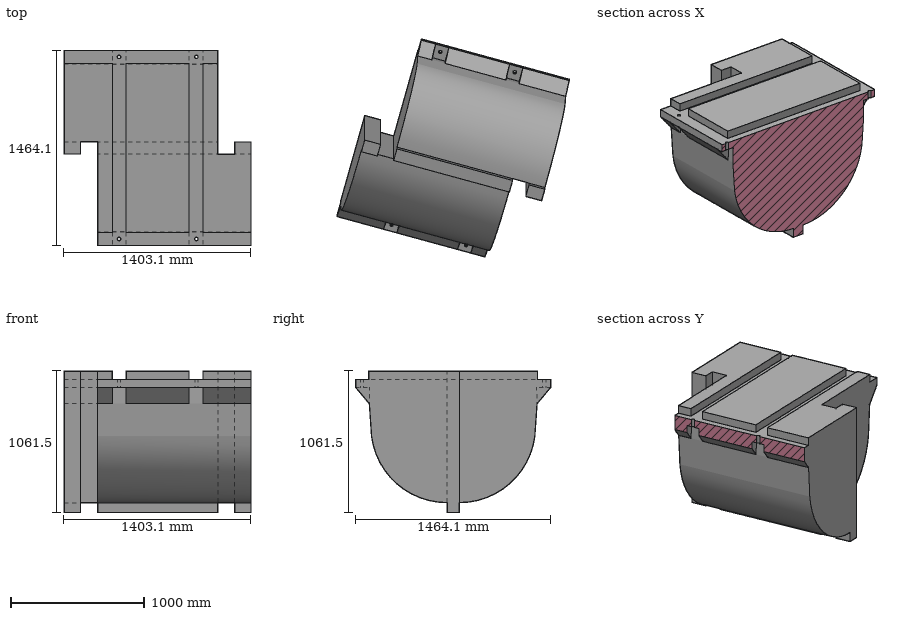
import math

import cadquery as cq

LENGTH = 1403.09
WIDTH = 1464.09
HEIGHT = 1061.47

BLOCK_HALF_WIDTH = 634.0
FLANGE_TOP_Z = -61.0
FLANGE_THICKNESS = 61.0
HAUNCH_HEIGHT = 2 * FLANGE_THICKNESS
HAUNCH_ROOT_HALF_WIDTH = 630.0
CLEARANCE_TOP_HALF_WIDTH = 626.0
HULL_RADIUS = 572.0
HULL_CENTRE_Z = -415.0
HULL_START_Z = -488.0
KEEL_HALF_WIDTH = 46.0

HOOK_LENGTH = 124.0
HOOK_SLOT_WIDTH = 127.0

GROOVE_WIDTH = 103.0
GROOVE_OFFSET = 288.0
HOLE_OFFSET = 290.0
HOLE_DIAMETER = 24.0

HALF_LENGTH = LENGTH / 2
HALF_WIDTH = WIDTH / 2
FLANGE_BOTTOM_Z = FLANGE_TOP_Z - FLANGE_THICKNESS
HAUNCH_BOTTOM_Z = FLANGE_BOTTOM_Z - HAUNCH_HEIGHT
HOLE_Y = (BLOCK_HALF_WIDTH + HALF_WIDTH) / 2


def hull_point(angle):
    """Point on the +Y hull arc, at an angle below the horizontal through its centre."""
    return (
        KEEL_HALF_WIDTH + HULL_RADIUS * math.cos(angle),
        HULL_CENTRE_Z - HULL_RADIUS * math.sin(angle),
    )


def make_hull():
    """Flanged tub section with a keel, run along the whole length."""
    start_angle = math.asin((HULL_CENTRE_Z - HULL_START_Z) / HULL_RADIUS)
    end_angle = math.pi / 2
    half = (
        cq.Workplane("YZ", origin=(-HALF_LENGTH, 0, 0))
        .moveTo(0, 0)
        .lineTo(BLOCK_HALF_WIDTH, 0)
        .lineTo(BLOCK_HALF_WIDTH, FLANGE_TOP_Z)
        .lineTo(HALF_WIDTH, FLANGE_TOP_Z)
        .lineTo(HALF_WIDTH, FLANGE_BOTTOM_Z)
        .lineTo(HAUNCH_ROOT_HALF_WIDTH, HAUNCH_BOTTOM_Z)
        .lineTo(*hull_point(start_angle))
        .threePointArc(hull_point((start_angle + end_angle) / 2), hull_point(end_angle))
        .lineTo(KEEL_HALF_WIDTH, -HEIGHT)
        .lineTo(0, -HEIGHT)
        .close()
        .extrude(LENGTH)
    )
    return half.union(half.mirror("XZ"))


def make_plan():
    """Plan outline with a hook at each end, the same after half a turn about Z."""
    hook_inner_x = -HALF_LENGTH + HOOK_LENGTH
    slot_inner_x = hook_inner_x + HOOK_SLOT_WIDTH
    half_outline = [
        (-HALF_LENGTH, HALF_WIDTH),
        (-HALF_LENGTH, -KEEL_HALF_WIDTH),
        (hook_inner_x, -KEEL_HALF_WIDTH),
        (hook_inner_x, KEEL_HALF_WIDTH),
        (slot_inner_x, KEEL_HALF_WIDTH),
        (slot_inner_x, -HALF_WIDTH),
    ]
    turned_outline = [(-x, -y) for x, y in half_outline]
    return cq.Workplane("XY").polyline(half_outline + turned_outline).close().extrude(-HEIGHT)


def haunch_clearance(x):
    """Prism on the +Y side that clears the haunch at x, leaving a wall that leans slightly inward."""
    return (
        cq.Workplane("YZ", origin=(x - GROOVE_WIDTH / 2, 0, 0))
        .moveTo(CLEARANCE_TOP_HALF_WIDTH, FLANGE_BOTTOM_Z)
        .lineTo(HALF_WIDTH, FLANGE_BOTTOM_Z)
        .lineTo(HAUNCH_ROOT_HALF_WIDTH, HAUNCH_BOTTOM_Z)
        .close()
        .extrude(GROOVE_WIDTH)
    )


def cut_grooves(body):
    """Cut the top grooves down to the flange, and clear the haunches beneath the flange."""
    for x in (-GROOVE_OFFSET, GROOVE_OFFSET):
        groove = cq.Workplane("XY").center(x, 0).rect(GROOVE_WIDTH, WIDTH).extrude(FLANGE_TOP_Z)
        clearance = haunch_clearance(x)
        body = body.cut(groove).cut(clearance).cut(clearance.mirror("XZ"))
    return body


def cut_bolt_holes(body):
    """Drill the four holes through the flange."""
    holes = (
        cq.Workplane("XY", origin=(0, 0, FLANGE_TOP_Z))
        .rect(2 * HOLE_OFFSET, 2 * HOLE_Y, forConstruction=True)
        .vertices()
        .circle(HOLE_DIAMETER / 2)
        .extrude(-FLANGE_THICKNESS)
    )
    return body.cut(holes)


result = make_hull().intersect(make_plan())
result = cut_grooves(result)
result = cut_bolt_holes(result)